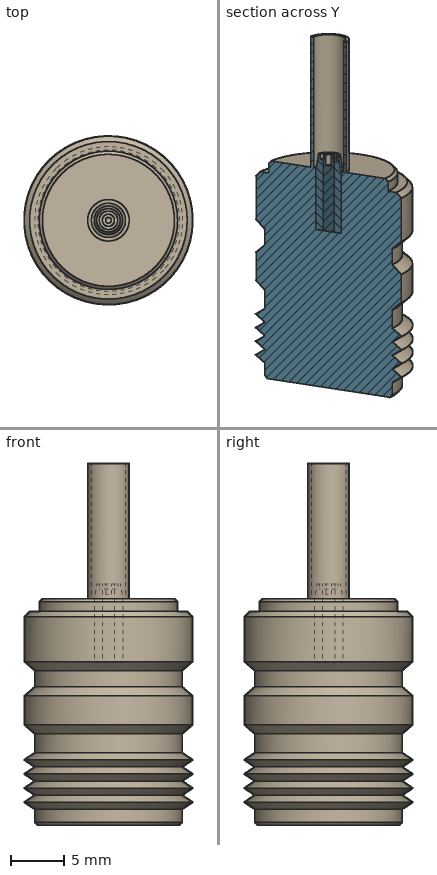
import cadquery as cq

total_height = 34.0

barrel_radius = 6.95
collar_radius = 7.9
foot_chamfer = 0.3
groove_cone_height = 0.83
lower_collar_bottom = 8.6
lower_collar_top = 13.0
upper_collar_bottom = 14.54
upper_collar_top = 20.1
collar_chamfer = 0.5
cap_radius = 6.5
cap_top = 21.3
cap_chamfer = 0.3

ring_count = 4
ring_pitch = 1.325
first_ring_height = 2.17
ring_tip_radius = 7.94
ring_half_width = ring_pitch / 2

tube_radius = 1.95
tube_bore_radius = 1.6
seat_height = cap_top
seat_depth = 6.0

insulator_radius = 1.35
insulator_nose_radius = 1.1
insulator_nose_height = 1.4
insulator_recess_radius = 0.87
insulator_recess_depth = 0.5
pin_radius = 0.57
pin_cup_radius = 0.27
pin_cup_depth = 1.0

seat_floor = seat_height - seat_depth
nose_top = seat_height + insulator_nose_height


def disc(radius, bottom, top):
    """Solid cylinder on the Z axis between two heights."""
    return cq.Workplane("XY").workplane(offset=bottom).circle(radius).extrude(top - bottom)


def revolve_profile(points):
    """Solid of revolution about Z from (radius, height) points."""
    return cq.Workplane("XZ").polyline(points).close().revolve(360, (0, 0, 0), (0, 1, 0))


def make_shell_blank():
    """Outside of the housing without its thread or bore."""
    return revolve_profile([
        (0, 0),
        (barrel_radius - foot_chamfer, 0),
        (barrel_radius, foot_chamfer),
        (barrel_radius, lower_collar_bottom),
        (collar_radius, lower_collar_bottom + groove_cone_height),
        (collar_radius, lower_collar_top - groove_cone_height),
        (barrel_radius, lower_collar_top),
        (barrel_radius, upper_collar_bottom),
        (collar_radius, upper_collar_bottom + groove_cone_height),
        (collar_radius, upper_collar_top - collar_chamfer),
        (collar_radius - collar_chamfer, upper_collar_top),
        (cap_radius, upper_collar_top),
        (cap_radius, cap_top - cap_chamfer),
        (cap_radius - cap_chamfer, cap_top),
        (tube_radius, cap_top),
        (tube_radius, total_height),
        (0, total_height),
    ])


def make_thread_ring(height):
    """One V-shaped ring, rooted on the barrel at the given tip height."""
    return revolve_profile([
        (0, height - ring_half_width),
        (barrel_radius, height - ring_half_width),
        (ring_tip_radius, height),
        (barrel_radius, height + ring_half_width),
        (0, height + ring_half_width),
    ])


def make_housing():
    """Threaded shell and cable tube in one piece, with a stepped blind bore."""
    housing = make_shell_blank()
    for index in range(ring_count):
        housing = housing.union(make_thread_ring(first_ring_height + index * ring_pitch))
    housing = housing.cut(disc(tube_bore_radius, seat_height, total_height))
    return housing.cut(disc(insulator_radius, seat_floor, seat_height))


def make_insulator():
    """Sleeve around the pin with a tapered nose standing above its seat and a recess in the nose."""
    sleeve = revolve_profile([
        (0, seat_floor),
        (insulator_radius, seat_floor),
        (insulator_radius, seat_height),
        (insulator_nose_radius, nose_top),
        (0, nose_top),
    ])
    recess = disc(insulator_recess_radius, nose_top - insulator_recess_depth, nose_top)
    return sleeve.cut(recess).cut(disc(pin_radius, seat_floor, nose_top))


def make_pin():
    """Centre contact, level with the insulator nose, with a solder cup in its end."""
    cup = disc(pin_cup_radius, nose_top - pin_cup_depth, nose_top)
    return disc(pin_radius, seat_floor, nose_top).cut(cup)


housing = make_housing()
insulator = make_insulator()
pin = make_pin()

result = cq.Compound.makeCompound([housing.val(), insulator.val(), pin.val()])